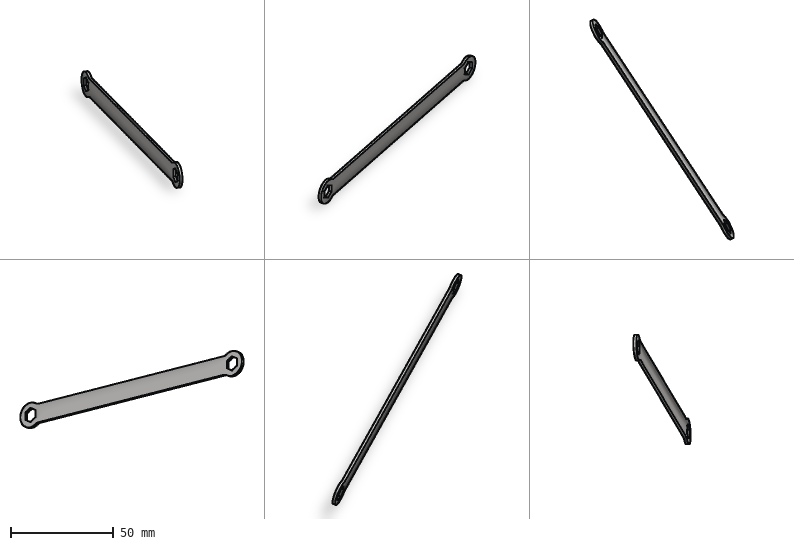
import cadquery as cq
import math

hole_spacing = 127.01
eye_diameter = 12.7
bar_width = 9.6
thickness = 1.5
neck_fillet_radius = 2.0
hex_across_flats = 6.35

eye_radius = eye_diameter / 2
hex_sides = 6
hex_corner_radius = hex_across_flats / 2 / math.cos(math.pi / hex_sides)
eye_centers = [(-hole_spacing / 2, 0), (hole_spacing / 2, 0)]


def plate(outline):
    """Extrude an XZ outline to the link thickness, centred on Y = 0."""
    return outline.extrude(thickness / 2, both=True)


def make_link_body():
    """Straight bar blended into a round eye at each end."""
    bar = plate(cq.Workplane("XZ").rect(hole_spacing, bar_width))
    eyes = plate(cq.Workplane("XZ").pushPoints(eye_centers).circle(eye_radius))
    body = bar.union(eyes)

    margin = 0.1
    half_length = hole_spacing / 2 - margin
    half_width = bar_width / 2 + margin
    bar_region = cq.selectors.BoxSelector(
        (-half_length, -thickness, -half_width),
        (half_length, thickness, half_width),
    )
    return body.edges("|Y").edges(bar_region).fillet(neck_fillet_radius)


def make_hex_holes():
    """Through hexagons with two flats upright and two corners pointing along Z."""
    hexagon = cq.Sketch().regularPolygon(hex_corner_radius, hex_sides)
    return plate(cq.Workplane("XZ").pushPoints(eye_centers).placeSketch(hexagon))


result = make_link_body().cut(make_hex_holes())